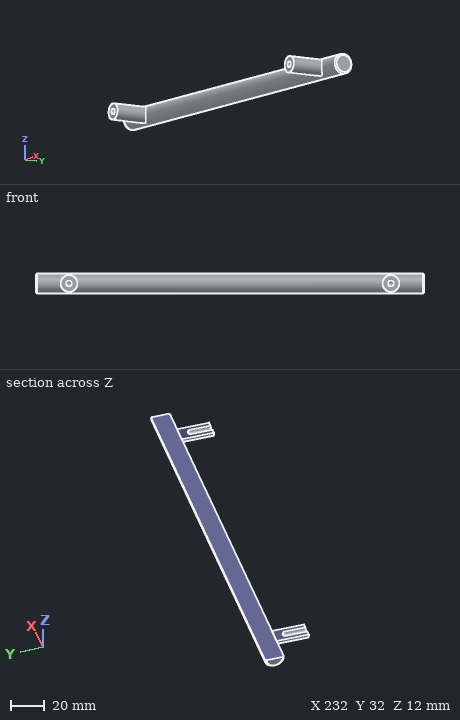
import cadquery as cq
import math

bar_length = 232.0
bar_diameter = 12.0
bar_radius = bar_diameter / 2
end_chamfer = 1.0

overall_depth = 32.0
post_spacing = 192.0
post_diameter = 10.0
post_end_y = bar_radius - overall_depth

screw_hole_diameter = 3.5
screw_hole_depth = 14.0
drill_point_angle = 118.0
drill_point_height = screw_hole_diameter / 2 / math.tan(math.radians(drill_point_angle / 2))


def cylinder_along_y(diameter, start_y, end_y, x):
    """Cylinder parallel to Y at the given X, between two Y positions."""
    return (
        cq.Workplane("XZ", origin=(x, start_y, 0))
        .circle(diameter / 2)
        .extrude(start_y - end_y)
    )


def make_bar():
    """Round bar with a chamfered rim at both ends."""
    return (
        cq.Workplane("YZ", origin=(-bar_length / 2, 0, 0))
        .circle(bar_radius)
        .extrude(bar_length)
        .faces("<X or >X")
        .chamfer(end_chamfer)
    )


def make_screw_hole(x):
    """Drill-shaped cutter: a straight bore ending in a cone."""
    bore_bottom_y = post_end_y + screw_hole_depth
    bore = cylinder_along_y(screw_hole_diameter, bore_bottom_y, post_end_y, x)
    drill_point = cq.Solid.makeCone(
        screw_hole_diameter / 2,
        0,
        drill_point_height,
        pnt=cq.Vector(x, bore_bottom_y, 0),
        dir=cq.Vector(0, 1, 0),
    )
    return bore.union(cq.Workplane(obj=drill_point))


def make_post(x, bar):
    """Round post with a screw hole, its inner end saddled onto the bar."""
    post = cylinder_along_y(post_diameter, 0, post_end_y, x).cut(bar)
    return post.cut(make_screw_hole(x))


bar = make_bar()
posts = [make_post(side * post_spacing / 2, bar) for side in (-1, 1)]

result = cq.Compound.makeCompound([bar.solids().val(), *[post.solids().val() for post in posts]])